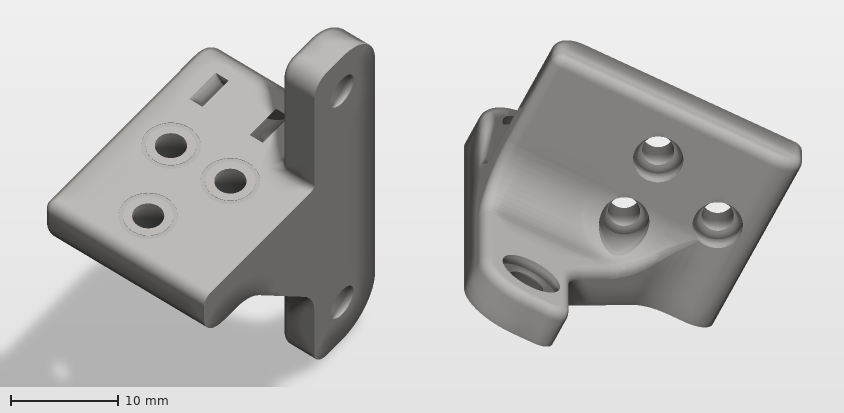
import cadquery as cq
import math


shelf_reach = 19.0
shelf_width = 26.05
shelf_thickness = 6.0
shelf_corner_radius = 3.0
edge_radius = 1.0

tab_thickness = 4.0
tab_width = 9.25
bracket_height = 41.5
tab_top = 15.25
tab_flush_radius = 5.0
tab_free_radius = 2.0
tab_front_fillet = 1.0
tab_side_fillet = 0.5

gusset_radius = 5.0
gusset_drop = 12.0
gusset_angle = math.radians(45)

screw_hole_diameter = 3.5
screw_head_diameter = 6.0
screw_head_depth = 1.0
screw_inset = 5.0
screw_spacing = 31.0

insert_bore_diameter = 3.0
insert_neck_diameter = 4.7
insert_band_diameter = 5.56
insert_neck_height = 0.05
insert_length = 4.0
insert_group_x = -10.25
insert_group_y = -13.3
insert_pitch_x = 7.0
insert_pitch_y = 8.0

tie_outer_radius = 5.0
tie_inner_radius = 3.75
tie_center_x = -11.5
tie_center_z = 2.5
tie_width = 4.0
tie_side_y = -3.8

tolerance = 0.01
shelf_bottom = -shelf_thickness
tab_bottom = tab_top - bracket_height
embed_depth = shelf_thickness / 2
front_x = -shelf_reach
tab_front_x = -tab_thickness
upper_screw_z = tab_top - screw_inset
screw_heights = [upper_screw_z, upper_screw_z - screw_spacing]
insert_places = [
    (insert_group_x - insert_pitch_x / 2, insert_group_y),
    (insert_group_x + insert_pitch_x / 2, insert_group_y),
    (insert_group_x, insert_group_y - insert_pitch_y),
]


def box_between(x_range, y_range, z_range):
    """Box given by its low and high limit along each axis."""
    sizes = [high - low for low, high in (x_range, y_range, z_range)]
    corner = (x_range[0], y_range[0], z_range[0])
    return cq.Workplane("XY").box(*sizes, centered=False).translate(corner)


def edges_where(body, test):
    """Edges of the body whose bounding box passes the test."""
    return body.newObject([edge for edge in body.edges().vals() if test(edge.BoundingBox())])


def same(*values):
    """True when all values agree within the tolerance."""
    return max(values) - min(values) < tolerance


def make_shelf():
    shelf = box_between((front_x, 0), (-shelf_width, 0), (shelf_bottom, 0))
    shelf = shelf.edges("|X and >Y and >Z").fillet(shelf_corner_radius)
    return shelf.edges("|X and <Y and <Z").fillet(shelf_corner_radius)


def make_upper_tab():
    tab = box_between((tab_front_x, 0), (-tab_width, 0), (shelf_bottom + embed_depth, tab_top))
    tab = tab.edges("|X and >Y and >Z").fillet(tab_flush_radius)
    return tab.edges("|X and <Y and >Z").fillet(tab_free_radius)


def make_gusset_outline():
    """Lower tab and gusset seen along X, extruded over the full reach."""
    rise = gusset_radius * math.sin(gusset_angle)
    lean = gusset_radius * (1 - math.cos(gusset_angle))
    mid_rise = gusset_radius * math.sin(gusset_angle / 2)
    mid_lean = gusset_radius * (1 - math.cos(gusset_angle / 2))
    root_y = -tab_width
    root_z = shelf_bottom - gusset_drop
    slope_run = gusset_drop - rise - lean
    slope_low = (root_y - lean, root_z + rise)
    slope_high = (slope_low[0] - slope_run, slope_low[1] + slope_run)
    tip_y = slope_high[0] - rise
    outline = (
        cq.Workplane("YZ")
        .moveTo(0, shelf_bottom + embed_depth)
        .lineTo(0, tab_bottom)
        .lineTo(root_y, tab_bottom)
        .lineTo(root_y, root_z)
        .threePointArc((root_y - mid_lean, root_z + mid_rise), slope_low)
        .lineTo(*slope_high)
        .threePointArc((tip_y + mid_rise, shelf_bottom - mid_lean), (tip_y, shelf_bottom))
        .lineTo(tip_y, shelf_bottom + embed_depth)
        .close()
        .extrude(front_x)
    )
    outline = outline.edges("|X and >Y and <Z").fillet(tab_flush_radius)
    free_corner = edges_where(
        outline,
        lambda b: same(b.ymin, b.ymax, root_y) and same(b.zmin, b.zmax, tab_bottom),
    )
    return free_corner.fillet(tab_free_radius)


def make_lower_tab():
    """Lower tab whose front sweeps forward in an arc to meet the shelf underside."""
    sweep_x = tab_front_x - gusset_radius
    front_profile = (
        cq.Workplane("XZ")
        .moveTo(0, shelf_bottom + embed_depth)
        .lineTo(0, tab_bottom)
        .lineTo(tab_front_x, tab_bottom)
        .lineTo(tab_front_x, shelf_bottom - gusset_radius)
        .radiusArc((sweep_x, shelf_bottom), -gusset_radius)
        .lineTo(sweep_x, shelf_bottom + embed_depth)
        .close()
        .extrude(shelf_width)
    )
    return make_gusset_outline().intersect(front_profile)


def blend_upper_tab(body):
    """Concave fillets where the upper tab stands on the shelf, front first, then the side."""
    front_root = edges_where(
        body,
        lambda b: same(b.xmin, b.xmax, tab_front_x)
        and -shelf_corner_radius - tolerance < b.zmin
        and b.zmax < tolerance,
    )
    body = front_root.fillet(tab_front_fillet)
    side_root = edges_where(
        body, lambda b: same(b.ymin, b.ymax, -tab_width) and same(b.zmin, b.zmax, 0)
    )
    return side_root.fillet(tab_side_fillet)


def round_upper_tab(body):
    rim = edges_where(
        body, lambda b: same(b.xmin, b.xmax, tab_front_x) and b.zmax > upper_screw_z - tolerance
    )
    return rim.fillet(edge_radius)


def round_shelf_and_lower_tab(body):
    """Round the shelf's front rim, its free top edge and the whole rim of the lower tab."""

    def on_rim(b):
        shelf_front = same(b.xmin, b.xmax, front_x)
        free_top = same(b.ymin, b.ymax, -shelf_width) and same(b.zmin, b.zmax, 0)
        below_shelf = b.zmax < shelf_bottom + tolerance
        flush_lower = below_shelf and same(b.ymin, b.ymax, 0) and b.xmin < tab_front_x + tolerance
        flush_lower = flush_lower and b.xmax < -tolerance
        arc_foot = same(b.zmin, b.zmax, shelf_bottom - gusset_radius)
        tab_front = below_shelf and same(b.xmin, b.xmax, tab_front_x) and not arc_foot
        return shelf_front or free_top or flush_lower or tab_front

    return edges_where(body, on_rim).fillet(edge_radius)


def cut_screw_holes(body):
    for height in screw_heights:
        hole_start = (front_x, -screw_inset, height)
        hole = cq.Workplane("YZ", origin=hole_start).circle(screw_hole_diameter / 2).extrude(shelf_reach)
        head_start = (tab_front_x, -screw_inset, height)
        head = cq.Workplane("YZ", origin=head_start).circle(screw_head_diameter / 2)
        body = body.cut(hole).cut(head.extrude(screw_head_depth))
    return body


def cut_tie_channel(body):
    ring = (
        cq.Workplane("XZ", origin=(tie_center_x, tie_side_y, tie_center_z))
        .circle(tie_outer_radius)
        .circle(tie_inner_radius)
        .extrude(tie_width)
    )
    return body.cut(ring)


def insert_envelope(x, y):
    """Outer shape of an insert without its bore."""
    neck = cq.Workplane("XY", origin=(x, y, 0)).circle(insert_neck_diameter / 2)
    band = cq.Workplane("XY", origin=(x, y, -insert_neck_height)).circle(insert_band_diameter / 2)
    return neck.extrude(-insert_length).union(band.extrude(insert_neck_height - insert_length))


def cut_insert_seats(body):
    """Stepped holes: a wide seat for each insert over a clearance hole right through."""
    for x, y in insert_places:
        top = cq.Workplane("XY", origin=(x, y, 0))
        seat = top.circle(insert_band_diameter / 2).extrude(-insert_length)
        clearance = top.circle(insert_neck_diameter / 2).extrude(tab_bottom)
        body = body.cut(seat).cut(clearance)
    return body


def make_bracket():
    body = make_shelf().union(make_upper_tab()).union(make_lower_tab()).clean()
    body = blend_upper_tab(body)
    body = round_upper_tab(body)
    body = round_shelf_and_lower_tab(body)
    body = cut_screw_holes(body)
    body = cut_tie_channel(body)
    return cut_insert_seats(body)


def make_insert(x, y):
    bore = cq.Workplane("XY", origin=(x, y, 0)).circle(insert_bore_diameter / 2)
    return insert_envelope(x, y).cut(bore.extrude(-insert_length))


bracket = make_bracket()
inserts = [make_insert(x, y) for x, y in insert_places]
result = cq.Compound.makeCompound([bracket.val(), *[insert.val() for insert in inserts]])